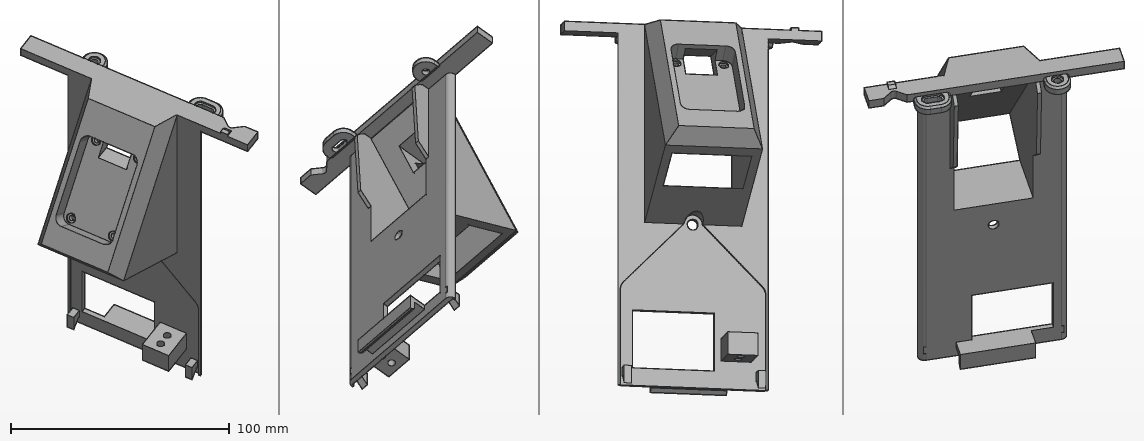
import math
import cadquery as cq


FLANGE_LENGTH = 120.0
FLANGE_DEPTH = 9.4
FLANGE_THICKNESS = 4.5
NOTCH_X = 47.5
NOTCH_HALF_WIDTH = 5.5
NOTCH_APEX_DEPTH = 4.6
NOTCH_ROUNDING = 2.0
BUMP_WIDTH = 3.6
BUMP_HEIGHT = 1.2
BUMP_TOP_DEPTH = 2.2
BUMP_DEPTH = 3.9

PLATE_WIDTH = 70.0
PLATE_THICKNESS = 3.5
PLATE_BOTTOM = -168.5
PLATE_BACK_ROUNDING = 3.2

HOUSING_HALF_WIDTH = 22.65
FACE_HALF_WIDTH = 17.6
FACE_TOP_Y = -11.4
FACE_TIP_Y = -54.34
FACE_TIP_Z = -57.9
BEVEL_DEPTH = 9.5
CHIN_Y = -48.7
CHIN_Z = -66.1
HOUSING_BOTTOM = -92.5
FACE_SLOPE = math.atan2(FACE_TOP_Y - FACE_TIP_Y, -FACE_TIP_Z)
FACE_LENGTH = math.hypot(FACE_TOP_Y - FACE_TIP_Y, FACE_TIP_Z)

CAVITY_HALF_WIDTH = 18.6
CAVITY_FLOOR = -79.8
CAVITY_FACE_OFFSET = 14.9

POCKET_WIDTH = 30.0
POCKET_LENGTH = 44.5
POCKET_TOP_DISTANCE = 16.2
POCKET_DEPTH = 9.0
POCKET_ROUNDING = 4.0
SCREW_DIAMETER = 2.5
SCREW_DEPTH = 4.0
SCREW_SINK_DIAMETER = 4.5
SCREW_SINK_DEPTH = 1.0
SCREW_SPACING_X = 22.2
SCREW_END_MARGIN = 3.0
WINDOW_HALF_WIDTH = 7.4
WINDOW_TOP = -14.5
WINDOW_BOTTOM = -26.5

RIB_INNER_X = 18.6
RIB_THICKNESS = 1.9
RIB_UPPER_Y = 12.1
RIB_UPPER_Z = -9.0
RIB_LOWER_Y = 9.9
RIB_LOWER_Z = -47.8
RIB_BOTTOM = -54.1

LUG_RADIUS = 6.0
LUG_CENTRE_Y = 12.1
LUG_TOP = -2.1
LUG_BOTTOM = -6.2
LUG_CHAMFER = 1.0
LUG_SLOPE_FRONT_Y = 8.8
LUG_HOLE_DIAMETER = 3.5
LUG_SINK_DIAMETER = 5.5
LUG_SINK_DEPTH = 1.0
ROUND_LUG_X = -28.0
SLOT_LUG_X = 30.5
SLOT_TRAVEL = 5.0

RECESS_DEPTH = 1.0
RECESS_HALF_WIDTH = 34.0
RECESS_SHOULDER_ROUNDING = 6.0
HEAD_RADIUS = 4.4
HEAD_CENTRE_Z = -92.4
HEAD_HOLE_DIAMETER = 5.0

OPENING_LEFT = -28.1
OPENING_RIGHT = 10.2
OPENING_TOP = -133.3
OPENING_BOTTOM = -160.3
BLOCK_LEFT = 13.2
BLOCK_RIGHT = 27.1
BLOCK_TOP = -145.1
BLOCK_BOTTOM = -155.6
BLOCK_FRONT_Y = -15.2
BLOCK_HOLE_DIAMETER = 3.5
BLOCK_HOLE_SPACING = 6.0
HOOK_INNER_X = 29.5
HOOK_WIDTH = 3.5
HOOK_FRONT_Y = -4.1
SHELF_HALF_WIDTH = 17.7
SHELF_BACK_Y = 12.3
SHELF_THICKNESS = 2.9
SHELF_LIP_THICKNESS = 2.7
SHELF_LIP_CHAMFER = 1.7
SHELF_LIP_BOTTOM = -169.3


def box(x_range, y_range, z_range):
    """Box spanning the given coordinate ranges."""
    sizes = [high - low for low, high in (x_range, y_range, z_range)]
    return cq.Workplane("XY").box(*sizes, centered=False).translate(
        (x_range[0], y_range[0], z_range[0])
    )


def side_prism(points, x_start, x_end):
    """Prism along X with an outline of (Y, Z) points."""
    return cq.Workplane("YZ").workplane(offset=x_start).polyline(points).close().extrude(x_end - x_start)


def face_plane():
    """Plane on the sloped face: origin mid top edge, local y up the slope, normal outward."""
    normal = (0, -math.cos(FACE_SLOPE), math.sin(FACE_SLOPE))
    return cq.Plane(origin=(0, FACE_TOP_Y, 0), xDir=(1, 0, 0), normal=normal)


def make_flange():
    flange = box(
        (-FLANGE_LENGTH / 2, FLANGE_LENGTH / 2), (0, FLANGE_DEPTH), (-FLANGE_THICKNESS, 0)
    )
    notch = (
        cq.Workplane("XY")
        .polyline([
            (NOTCH_X - NOTCH_HALF_WIDTH, FLANGE_DEPTH),
            (NOTCH_X, FLANGE_DEPTH - NOTCH_APEX_DEPTH),
            (NOTCH_X + NOTCH_HALF_WIDTH, FLANGE_DEPTH),
        ])
        .close()
        .extrude(-FLANGE_THICKNESS)
        .edges("|Z and <Y")
        .fillet(NOTCH_ROUNDING)
    )
    bump = side_prism(
        [(0, 0), (0, BUMP_HEIGHT), (BUMP_TOP_DEPTH, BUMP_HEIGHT), (BUMP_DEPTH, 0)],
        NOTCH_X - BUMP_WIDTH / 2,
        NOTCH_X + BUMP_WIDTH / 2,
    )
    return flange.cut(notch).union(bump)


def make_plate():
    plate = box((-PLATE_WIDTH / 2, PLATE_WIDTH / 2), (0, PLATE_THICKNESS), (PLATE_BOTTOM, 0))
    return plate.edges("|Z and >Y").fillet(PLATE_BACK_ROUNDING)


def make_housing():
    """Sloped housing whose side edges are bevelled along the face."""
    housing = side_prism(
        [(0, 0), (FACE_TOP_Y, 0), (FACE_TIP_Y, FACE_TIP_Z), (CHIN_Y, CHIN_Z), (0, HOUSING_BOTTOM)],
        -HOUSING_HALF_WIDTH,
        HOUSING_HALF_WIDTH,
    )
    for side in (-1, 1):
        bevel = (
            cq.Workplane(face_plane())
            .transformed(rotate=(90, 0, 0))
            .polyline([
                (side * FACE_HALF_WIDTH, 0),
                (side * HOUSING_HALF_WIDTH, 0),
                (side * HOUSING_HALF_WIDTH, -BEVEL_DEPTH),
            ])
            .close()
            .extrude(2 * FACE_LENGTH, both=True)
        )
        housing = housing.cut(bevel)
    return housing


def make_cavity():
    """Hollow with its front parallel to the sloped face; it breaks out through the underside."""
    horizontal_offset = CAVITY_FACE_OFFSET / math.cos(FACE_SLOPE)
    level_zero_y = FACE_TOP_Y + horizontal_offset
    top_z = (PLATE_THICKNESS - level_zero_y) / math.tan(FACE_SLOPE)
    floor_front_y = level_zero_y + CAVITY_FLOOR * math.tan(FACE_SLOPE)
    return side_prism(
        [
            (PLATE_THICKNESS, top_z),
            (floor_front_y, CAVITY_FLOOR),
            (PLATE_THICKNESS, CAVITY_FLOOR),
        ],
        -CAVITY_HALF_WIDTH,
        CAVITY_HALF_WIDTH,
    )


def cut_pocket(body):
    """Rounded pocket in the sloped face with four counterbored screw holes and a window to the cavity."""
    centre_v = -(POCKET_TOP_DISTANCE + POCKET_LENGTH / 2)
    pocket = (
        cq.Workplane(face_plane())
        .center(0, centre_v)
        .rect(POCKET_WIDTH, POCKET_LENGTH)
        .extrude(-POCKET_DEPTH)
        .edges(cq.selectors.ParallelDirSelector(face_plane().zDir))
        .fillet(POCKET_ROUNDING)
    )
    floor = cq.Workplane(face_plane()).workplane(offset=-POCKET_DEPTH).center(0, centre_v)
    screw_spacing_v = POCKET_LENGTH - 2 * SCREW_END_MARGIN
    screw_points = floor.rarray(SCREW_SPACING_X, screw_spacing_v, 2, 2)
    holes = screw_points.circle(SCREW_DIAMETER / 2).extrude(-SCREW_DEPTH)
    sinks = screw_points.circle(SCREW_SINK_DIAMETER / 2).extrude(-SCREW_SINK_DEPTH)
    window = box(
        (-WINDOW_HALF_WIDTH, WINDOW_HALF_WIDTH),
        (FACE_TIP_Y, PLATE_THICKNESS),
        (WINDOW_BOTTOM, WINDOW_TOP),
    )
    return body.cut(pocket).cut(holes).cut(sinks).cut(window)


def make_rib(side):
    rib = side_prism(
        [
            (0, -FLANGE_THICKNESS),
            (RIB_UPPER_Y + RIB_UPPER_Z + FLANGE_THICKNESS, -FLANGE_THICKNESS),
            (RIB_UPPER_Y, RIB_UPPER_Z),
            (RIB_LOWER_Y, RIB_LOWER_Z),
            (PLATE_THICKNESS, RIB_BOTTOM),
            (0, RIB_BOTTOM),
        ],
        RIB_INNER_X,
        RIB_INNER_X + RIB_THICKNESS,
    )
    return rib if side > 0 else rib.mirror("YZ")


def round_or_slot(plane, diameter, travel):
    """Circle, or a slot along X when the travel is not zero."""
    if travel > 0:
        return plane.slot2D(diameter + travel, diameter)
    return plane.circle(diameter / 2)


def add_lug(body, centre_x, travel):
    """Screw lug with a sloped root and a counterbored hole, both stretched along X by the travel."""
    top = cq.Workplane("XY", origin=(centre_x, LUG_CENTRE_Y, LUG_TOP))
    thickness = LUG_TOP - LUG_BOTTOM
    half_width = LUG_RADIUS + travel / 2
    rounded = round_or_slot(top, 2 * LUG_RADIUS, travel).extrude(-thickness)
    root = box(
        (centre_x - half_width, centre_x + half_width),
        (PLATE_THICKNESS, LUG_CENTRE_Y),
        (LUG_BOTTOM, LUG_TOP),
    )
    lug = rounded.union(root).faces(">Z").edges("not <Y").chamfer(LUG_CHAMFER)
    slope_run = -FLANGE_THICKNESS - LUG_BOTTOM
    slope_clearance = side_prism(
        [
            (0, LUG_BOTTOM),
            (LUG_SLOPE_FRONT_Y + slope_run, LUG_BOTTOM),
            (LUG_SLOPE_FRONT_Y, -FLANGE_THICKNESS),
            (0, -FLANGE_THICKNESS),
        ],
        centre_x - half_width,
        centre_x + half_width,
    )
    hole = round_or_slot(top, LUG_HOLE_DIAMETER, travel).extrude(-thickness)
    sink = round_or_slot(top, LUG_SINK_DIAMETER, travel).extrude(-LUG_SINK_DEPTH)
    return body.union(lug.cut(slope_clearance)).cut(hole).cut(sink)


def make_recess():
    """Gabled recess with a round head that also clears the housing's lower edge."""
    shoulder_z = HEAD_CENTRE_Z - (RECESS_HALF_WIDTH - HEAD_RADIUS)
    length = RECESS_DEPTH - FACE_TIP_Y
    panel = (
        cq.Workplane("XZ", origin=(0, RECESS_DEPTH, 0))
        .polyline([
            (-RECESS_HALF_WIDTH, PLATE_BOTTOM),
            (-RECESS_HALF_WIDTH, shoulder_z),
            (-HEAD_RADIUS, HEAD_CENTRE_Z),
            (HEAD_RADIUS, HEAD_CENTRE_Z),
            (RECESS_HALF_WIDTH, shoulder_z),
            (RECESS_HALF_WIDTH, PLATE_BOTTOM),
        ])
        .close()
        .extrude(length)
    )
    for side_face in ("<X", ">X"):
        panel = panel.faces(side_face).edges("|Y and >Z").fillet(RECESS_SHOULDER_ROUNDING)
    head = (
        cq.Workplane("XZ", origin=(0, RECESS_DEPTH, HEAD_CENTRE_Z)).circle(HEAD_RADIUS).extrude(length)
    )
    return panel.union(head)


def make_head_hole():
    return (
        cq.Workplane("XZ", origin=(0, 0, HEAD_CENTRE_Z))
        .circle(HEAD_HOLE_DIAMETER / 2)
        .extrude(-PLATE_THICKNESS)
    )


def make_opening():
    return box((OPENING_LEFT, OPENING_RIGHT), (0, PLATE_THICKNESS), (OPENING_BOTTOM, OPENING_TOP))


def make_block():
    """Block on the plate with two vertical holes, one behind the other."""
    block = box((BLOCK_LEFT, BLOCK_RIGHT), (BLOCK_FRONT_Y, PLATE_THICKNESS), (BLOCK_BOTTOM, BLOCK_TOP))
    holes = (
        cq.Workplane("XY", origin=((BLOCK_LEFT + BLOCK_RIGHT) / 2, BLOCK_FRONT_Y / 2, BLOCK_TOP))
        .rarray(1, BLOCK_HOLE_SPACING, 1, 2)
        .circle(BLOCK_HOLE_DIAMETER / 2)
        .extrude(BLOCK_BOTTOM - BLOCK_TOP)
    )
    return block.cut(holes)


def make_hook(side):
    """Front hook with a slanted underside."""
    hook = side_prism(
        [
            (PLATE_THICKNESS, OPENING_BOTTOM),
            (HOOK_FRONT_Y, OPENING_BOTTOM),
            (HOOK_FRONT_Y, PLATE_BOTTOM),
            (0, PLATE_BOTTOM - HOOK_FRONT_Y),
            (PLATE_THICKNESS, PLATE_BOTTOM - HOOK_FRONT_Y),
        ],
        HOOK_INNER_X,
        HOOK_INNER_X + HOOK_WIDTH,
    )
    return hook if side > 0 else hook.mirror("YZ")


def make_shelf():
    """Shelf behind the plate with a hanging lip, chamfered at its inner bottom edge."""
    lip_inner_y = SHELF_BACK_Y - SHELF_LIP_THICKNESS
    return side_prism(
        [
            (RECESS_DEPTH, OPENING_BOTTOM),
            (SHELF_BACK_Y, OPENING_BOTTOM),
            (SHELF_BACK_Y, SHELF_LIP_BOTTOM),
            (lip_inner_y + SHELF_LIP_CHAMFER, SHELF_LIP_BOTTOM),
            (lip_inner_y, SHELF_LIP_BOTTOM + SHELF_LIP_CHAMFER),
            (lip_inner_y, OPENING_BOTTOM - SHELF_THICKNESS),
            (RECESS_DEPTH, OPENING_BOTTOM - SHELF_THICKNESS),
        ],
        -SHELF_HALF_WIDTH,
        SHELF_HALF_WIDTH,
    )


body = make_plate().union(make_flange()).union(make_housing())
body = body.cut(make_cavity())
body = cut_pocket(body)
body = body.cut(make_recess()).cut(make_head_hole()).cut(make_opening())
for side in (-1, 1):
    body = body.union(make_rib(side)).union(make_hook(side))
body = add_lug(body, ROUND_LUG_X, 0)
body = add_lug(body, SLOT_LUG_X, SLOT_TRAVEL)
result = body.union(make_block()).union(make_shelf())